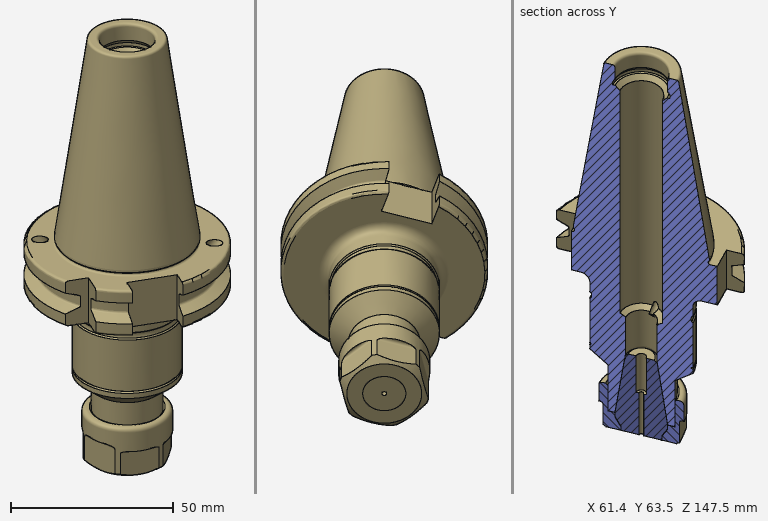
import cadquery as cq
import math


total_height = 147.5
nut_height = 17.8
flange_bottom = 60.2
flange_top = 76.0

taper_ratio = 7 / 48
gauge_radius = 22.3
gauge_level = 78.8
taper_base = 78.0
collar_bottom = 77.3
relief_radius = 22.0
relief_fillet = 0.7
relief_slope_bottom = 76.8
shank_end_round = 0.9

flange_radius = 63.5 / 2
flange_edge_round = 0.9
vee_root_radius = 27.9
vee_mouth_bottom = 64.5
vee_mouth_top = 71.8
vee_flank_rise = 1.8
vee_root_fillet = 0.7

keyway_width = 16.2
keyway_floor_left = 22.9
keyway_floor_right = 25.0
notch_offset = 18.5

body_radius = 17.0
body_fillet = 3.0
body_bottom = 30.1
ring_groove_bottom = 50.6
ring_groove_top = 53.2
ring_groove_chamfer = 0.5
ring_groove_depth = 0.6
mark_groove_bottom = 31.9
mark_groove_top = 32.6
mark_groove_depth = 0.6
neck_radius = 11.0
neck_top = 25.4

pilot_radius = 8.5
pilot_end_round = 1.0
undercut_radius = 9.3
undercut_top = 141.7
undercut_slope_bottom = 140.5
undercut_bottom = 139.4
thread_bore_radius = 7.0
drill_tip_angle = 31.0
through_bore_radius = 5.0
drill_tip_level = 46.5

channel_azimuth = 69.8
channel_mouth_distance = 26.8
channel_tilt = 35.0
channel_mouth_radius = 2.0
channel_mouth_depth = 2.7
channel_radius = 1.2
channel_length = 37.6

nut_radius = 14.0
nut_top_round = 1.5
nut_end_radius = 11.5
nut_end_chamfer_height = 1.8
nut_mouth_chamfer = 0.6
flat_distance = 12.5
flat_count = 6
flat_top = 9.7
flat_round = 0.9
tall_flat_top = 11.5
tall_flat_round = 1.3
tall_flat_angles = (240, 300)

collet_radius = 8.5
collet_seat = 6.6
collet_taper_angle = 8.0
collet_taper_slope = math.tan(math.radians(collet_taper_angle))
collet_top = collet_seat + (collet_radius - through_bore_radius) / collet_taper_slope
collet_end_chamfer = 0.7
collet_front_radius = 6.6
collet_front_angle = 30.0
collet_cone_height = (collet_radius - collet_front_radius) / math.tan(math.radians(collet_front_angle))
collet_land_height = 1.5
collet_cone_top = collet_seat - collet_land_height
collet_cone_bottom = collet_cone_top - collet_cone_height
collet_relief_radius = 1.6
collet_relief_depth = 14.8
collet_bore_radius = 0.7


def taper_radius(level):
    """Radius of the steep taper at a given height."""
    return gauge_radius - (level - gauge_level) * taper_ratio


def arc_inset(radius):
    """Offset of a quarter round's midpoint from the corner lines it is tangent to."""
    return radius * (1 - math.sqrt(0.5))


def revolve_about_z(profile):
    """Turn a closed (radius, height) wire into a solid of revolution."""
    return profile.close().revolve(360, (0, 0, 0), (0, 1, 0))


def holder_outside():
    """Turned blank from the threaded nose up to the shank end."""
    edge_round = flange_edge_round
    collar_radius = taper_radius(taper_base)
    shank_radius = taper_radius(total_height)
    ring_groove_middle = (ring_groove_bottom + ring_groove_top) / 2
    groove_edge_radius = body_radius - ring_groove_chamfer
    mark_groove_middle = (mark_groove_bottom + mark_groove_top) / 2
    fillet_middle = arc_inset(body_fillet)
    profile = (
        cq.Workplane("XZ")
        .moveTo(0, collet_seat)
        .lineTo(neck_radius, collet_seat)
        .lineTo(neck_radius, neck_top)
        .lineTo(body_radius, body_bottom)
        .lineTo(body_radius, mark_groove_bottom)
        .lineTo(body_radius - mark_groove_depth, mark_groove_middle)
        .lineTo(body_radius, mark_groove_top)
        .lineTo(body_radius, ring_groove_bottom)
        .lineTo(groove_edge_radius, ring_groove_bottom + ring_groove_chamfer)
        .threePointArc(
            (body_radius - ring_groove_depth, ring_groove_middle),
            (groove_edge_radius, ring_groove_top - ring_groove_chamfer),
        )
        .lineTo(body_radius, ring_groove_top)
        .lineTo(body_radius, flange_bottom - body_fillet)
        .threePointArc(
            (body_radius + fillet_middle, flange_bottom - fillet_middle),
            (body_radius + body_fillet, flange_bottom),
        )
        .lineTo(flange_radius - edge_round, flange_bottom)
        .radiusArc((flange_radius, flange_bottom + edge_round), -edge_round)
        .lineTo(flange_radius, vee_mouth_bottom)
        .lineTo(vee_root_radius, vee_mouth_bottom + vee_flank_rise)
        .lineTo(vee_root_radius, vee_mouth_top - vee_flank_rise)
        .lineTo(flange_radius, vee_mouth_top)
        .lineTo(flange_radius, flange_top - edge_round)
        .radiusArc((flange_radius - edge_round, flange_top), -edge_round)
        .lineTo(relief_radius + relief_fillet, flange_top)
        .radiusArc((relief_radius, flange_top + relief_fillet), relief_fillet)
        .lineTo(relief_radius, relief_slope_bottom)
        .lineTo(collar_radius, collar_bottom)
        .lineTo(collar_radius, taper_base)
        .lineTo(shank_radius, total_height)
        .lineTo(0, total_height)
    )
    blank = revolve_about_z(profile).faces(">Z").edges().fillet(shank_end_round)
    vee_root_box = cq.selectors.BoxSelector(
        (-flange_radius, -flange_radius, vee_mouth_bottom + edge_round),
        (flange_radius, flange_radius, vee_mouth_top - edge_round),
    )
    return blank.edges(vee_root_box).edges("%CIRCLE").fillet(vee_root_fillet)


def holder_bore():
    """Stepped bore of the holder, ending in the collet's conical seat."""
    chamfer_height = pilot_radius - thread_bore_radius
    tip_height = (thread_bore_radius - through_bore_radius) * math.tan(math.radians(drill_tip_angle))
    round_middle = arc_inset(pilot_end_round)
    profile = (
        cq.Workplane("XZ")
        .moveTo(0, collet_seat)
        .lineTo(collet_radius, collet_seat)
        .lineTo(through_bore_radius, collet_top)
        .lineTo(through_bore_radius, drill_tip_level)
        .lineTo(thread_bore_radius, drill_tip_level + tip_height)
        .lineTo(thread_bore_radius, undercut_bottom - chamfer_height)
        .lineTo(pilot_radius, undercut_bottom)
        .lineTo(undercut_radius, undercut_bottom)
        .lineTo(undercut_radius, undercut_slope_bottom)
        .lineTo(pilot_radius, undercut_top)
        .lineTo(pilot_radius, total_height - pilot_end_round)
        .threePointArc(
            (pilot_radius + round_middle, total_height - round_middle),
            (pilot_radius + pilot_end_round, total_height),
        )
        .lineTo(0, total_height)
    )
    return revolve_about_z(profile)


def flange_cutouts():
    """Two opposite driving keyways and the corner notch, all through the flange."""
    height = flange_top - flange_bottom
    reach = flange_radius
    base = cq.Workplane("XY").workplane(offset=flange_bottom)
    left_keyway = base.center(-keyway_floor_left - reach / 2, 0).rect(reach, keyway_width).extrude(height)
    right_keyway = base.center(keyway_floor_right + reach / 2, 0).rect(reach, keyway_width).extrude(height)
    notch_centre = notch_offset + reach / 2
    notch = base.center(notch_centre, -notch_centre).rect(reach, reach).extrude(height)
    return left_keyway.union(right_keyway).union(notch)


def coolant_channel(azimuth):
    """Stepped inclined hole running from the flange face down and inward to the bore."""
    tilt = math.radians(channel_tilt)
    turn = math.radians(azimuth)
    outward = cq.Vector(math.cos(turn), math.sin(turn), 0)
    direction = outward * -math.sin(tilt) + cq.Vector(0, 0, -math.cos(tilt))
    mouth = outward * channel_mouth_distance + cq.Vector(0, 0, flange_top)
    overrun = 2 * channel_mouth_radius
    start = mouth - direction * overrun
    wide = cq.Solid.makeCylinder(channel_mouth_radius, overrun + channel_mouth_depth, start, direction)
    narrow = cq.Solid.makeCylinder(channel_radius, channel_length, mouth, direction)
    return cq.Workplane(wide).union(cq.Workplane(narrow))


def make_holder():
    """Holder with its flange cutouts, bore and two opposite coolant channels."""
    holder = holder_outside().cut(flange_cutouts()).cut(holder_bore())
    for azimuth in (channel_azimuth, channel_azimuth + 180):
        holder = holder.cut(coolant_channel(azimuth))
    return holder


def flat_cutter(angle, top, round_radius):
    """Block that mills one wrench flat, with a rounded run-out at its upper end."""
    outside = 2 * nut_radius
    round_middle = arc_inset(round_radius)
    return (
        cq.Workplane("XZ")
        .moveTo(flat_distance, 0)
        .lineTo(flat_distance, top - round_radius)
        .threePointArc(
            (flat_distance + round_middle, top - round_middle), (flat_distance + round_radius, top)
        )
        .lineTo(outside, top)
        .lineTo(outside, 0)
        .close()
        .extrude(nut_radius, both=True)
        .rotate((0, 0, 0), (0, 0, 1), angle)
    )


def make_nut():
    """Clamping nut with six wrench flats, two of them longer than the rest."""
    profile = (
        cq.Workplane("XZ")
        .moveTo(collet_front_radius, 0)
        .lineTo(nut_end_radius, 0)
        .lineTo(nut_radius, nut_end_chamfer_height)
        .lineTo(nut_radius, nut_height - nut_top_round)
        .radiusArc((nut_radius - nut_top_round, nut_height), -nut_top_round)
        .lineTo(neck_radius + nut_mouth_chamfer, nut_height)
        .lineTo(neck_radius, nut_height - nut_mouth_chamfer)
        .lineTo(neck_radius, collet_seat)
        .lineTo(collet_radius, collet_seat)
        .lineTo(collet_radius, collet_cone_top)
        .lineTo(collet_front_radius, collet_cone_bottom)
    )
    nut = revolve_about_z(profile)
    for index in range(flat_count):
        angle = index * 360 // flat_count
        if angle in tall_flat_angles:
            nut = nut.cut(flat_cutter(angle, tall_flat_top, tall_flat_round))
        else:
            nut = nut.cut(flat_cutter(angle, flat_top, flat_round))
    return nut


def make_collet():
    """Double-cone collet held between the nut and the holder's seat."""
    chamfer_base_radius = through_bore_radius + collet_end_chamfer * collet_taper_slope
    profile = (
        cq.Workplane("XZ")
        .moveTo(collet_bore_radius, 0)
        .lineTo(collet_front_radius, 0)
        .lineTo(collet_front_radius, collet_cone_bottom)
        .lineTo(collet_radius, collet_cone_top)
        .lineTo(collet_radius, collet_seat)
        .lineTo(chamfer_base_radius, collet_top - collet_end_chamfer)
        .lineTo(through_bore_radius - collet_end_chamfer, collet_top)
        .lineTo(collet_relief_radius, collet_top)
        .lineTo(collet_relief_radius, collet_top - collet_relief_depth)
        .lineTo(collet_bore_radius, collet_top - collet_relief_depth)
    )
    return revolve_about_z(profile)


holder = make_holder()
nut = make_nut()
collet = make_collet()

result = cq.Compound.makeCompound([holder.solids().val(), nut.solids().val(), collet.val()])